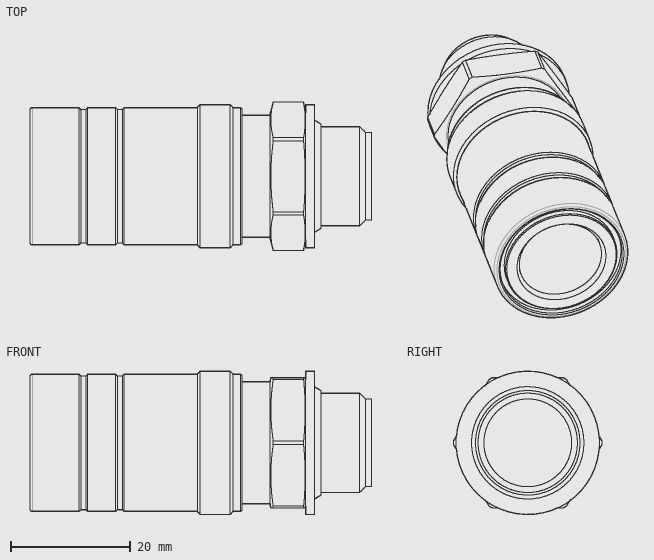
import cadquery as cq

total_length = 57.2
overlap = 0.3

sleeve_dia = 23.0
sleeve_length = 35.5
front_edge = 0.4
rear_edge = 0.25

groove_starts = (8.25, 14.35)
groove_width = 1.45
groove_floor_dia = 22.4
groove_slope = 0.3

collar_dia = 24.0
collar_start = 28.0
collar_end = 34.0
collar_bevel = 0.45

neck_dia = 20.5
hex_start = 40.2
hex_end = 46.15
hex_flats = 21.85
hex_corner_dia = 24.9
hex_face_dia = 21.0
hex_front_bevel = 0.5
hex_rear_bevel = 0.35

flange_dia = 24.0
flange_end = 47.65
shoulder_dia = 18.8
shoulder_end = 48.75
shoulder_end_dia = 17.5
spigot_dia = 16.65
spigot_end = 55.2
tip_dia = 14.7
tip_slope = (spigot_dia - tip_dia) / 2

recess_dia = 21.0
recess_mouth_bevel = 0.25
recess_depth = 1.15
insert_dia = 19.15
insert_bevel = 0.2
bore_dia = 14.1
bore_mouth_dia = 15.3
bore_mouth_depth = 0.8
bore_depth = 34.3


def cylinder(start, end, diameter):
    return cq.Workplane("YZ").workplane(offset=start).circle(diameter / 2).extrude(end - start)


def revolve_profile(points):
    """Revolve a closed (x, diameter) outline about the X axis."""
    outline = [(x, diameter / 2) for x, diameter in points]
    return cq.Workplane("XY").polyline(outline).close().revolve(360, (0, 0, 0), (1, 0, 0))


def make_sleeve():
    sleeve = cylinder(0, sleeve_length, sleeve_dia)
    sleeve = sleeve.faces("<X").edges().fillet(front_edge)
    sleeve = sleeve.faces(">X").edges().chamfer(rear_edge)
    for start in groove_starts:
        end = start + groove_width
        sleeve = sleeve.cut(revolve_profile([
            (start, sleeve_dia),
            (start + groove_slope, groove_floor_dia),
            (end - groove_slope, groove_floor_dia),
            (end, sleeve_dia),
            (end, collar_dia),
            (start, collar_dia),
        ]))
    collar = cylinder(collar_start, collar_end, collar_dia).edges().chamfer(collar_bevel)
    return sleeve.union(collar)


def make_hexagon():
    hexagon = (
        cq.Workplane("YZ")
        .workplane(offset=hex_start)
        .polygon(6, hex_flats, circumscribed=True)
        .extrude(hex_end - hex_start)
        .rotate((0, 0, 0), (1, 0, 0), 30)
    )
    envelope = revolve_profile([
        (hex_start, 0),
        (hex_start, hex_face_dia),
        (hex_start + hex_front_bevel, hex_corner_dia),
        (hex_end - hex_rear_bevel, hex_corner_dia),
        (hex_end, hex_face_dia),
        (hex_end, 0),
    ])
    return hexagon.intersect(envelope)


def make_rear_end():
    return revolve_profile([
        (hex_end - overlap, 0),
        (hex_end - overlap, neck_dia),
        (hex_end, neck_dia),
        (hex_end, flange_dia),
        (flange_end, flange_dia),
        (flange_end, shoulder_dia),
        (shoulder_end, shoulder_end_dia),
        (shoulder_end, spigot_dia),
        (spigot_end, spigot_dia),
        (spigot_end + tip_slope, tip_dia),
        (total_length, tip_dia),
        (total_length, 0),
    ])


def make_open_end_cut():
    recess = revolve_profile([
        (0, recess_dia + 2 * recess_mouth_bevel),
        (recess_mouth_bevel, recess_dia),
        (recess_depth, recess_dia),
        (recess_depth, insert_dia),
        (insert_bevel, insert_dia),
        (0, insert_dia - 2 * insert_bevel),
    ])
    bore = revolve_profile([
        (0, 0),
        (0, bore_mouth_dia),
        (bore_mouth_depth, bore_dia),
        (bore_depth, bore_dia),
        (bore_depth, 0),
    ])
    return recess.union(bore)


neck = cylinder(sleeve_length - overlap, hex_start + overlap, neck_dia)
body = make_sleeve().union(neck).union(make_hexagon()).union(make_rear_end())
result = body.cut(make_open_end_cut())